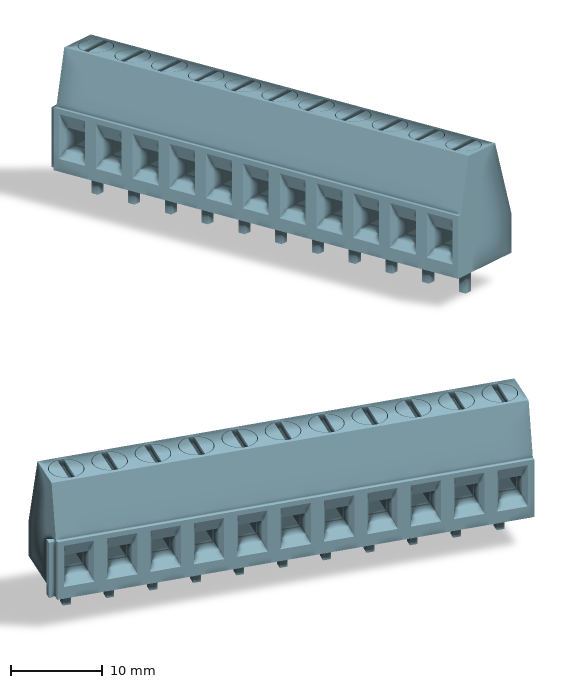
import cadquery as cq


pole_count = 11
pitch = 5.0
housing_length = pole_count * pitch
pole_centres = [pitch * (index + 0.5) for index in range(pole_count)]

housing_depth = 9.8
housing_height = 13.8
ledge_height = 7.35
ledge_depth = 0.5
top_front = 1.95
top_back = 6.8
back_wall_height = 4.6

tongue_length = 0.74
tongue_tip_width = 0.92
tongue_root_width = 0.45
tongue_height = 7.05
tongue_centre = 1.07

mouth_width = 3.5
mouth_bottom = 1.5
mouth_top = 6.75
mouth_depth = 0.8
throat_width = 2.75
throat_bottom = 2.4
throat_top = 5.05
throat_end = 2.4
shoulder = 0.15
channel_end = 6.0

screw_centre = (top_front + top_back) / 2
well_diameter = 4.0
screw_diameter = 3.8
well_depth = 1.5
slot_width = 0.75
slot_depth = 0.8

pin_width = 0.9
pin_thickness = 1.0
pin_length = 3.5
pin_centre = 4.65


def make_housing():
    """Housing profile in the YZ plane, extruded along the row."""
    profile = [
        (0, 0),
        (housing_depth, 0),
        (housing_depth, back_wall_height),
        (top_back, housing_height),
        (top_front, housing_height),
        (ledge_depth, ledge_height),
        (0, ledge_height),
    ]
    return cq.Workplane("YZ").polyline(profile).close().extrude(housing_length)


def make_tongue():
    """Dovetail tongue standing out from the -X end."""
    outline = [
        (0, tongue_centre - tongue_root_width / 2),
        (0, tongue_centre + tongue_root_width / 2),
        (-tongue_length, tongue_centre + tongue_tip_width / 2),
        (-tongue_length, tongue_centre - tongue_tip_width / 2),
    ]
    return cq.Workplane("XY").polyline(outline).close().extrude(tongue_height)


def make_straight_passage(x, width, bottom, start, end):
    """Rectangular passage under the common throat top, running along Y from start to end."""
    return cq.Workplane("XY").box(
        width, end - start, throat_top - bottom, centered=(True, False, False)
    ).translate((x, start, bottom))


def make_wire_entry(x):
    """Space to remove for one wire entry; a shoulder runs along the channel's sides and floor."""
    mouth_middle = (mouth_bottom + mouth_top) / 2
    throat_middle = (throat_bottom + throat_top) / 2
    mouth = (
        cq.Workplane("XZ", origin=(x, 0, mouth_middle))
        .rect(mouth_width, mouth_top - mouth_bottom)
        .workplane(offset=-mouth_depth)
        .center(0, throat_middle - mouth_middle)
        .rect(throat_width, throat_top - throat_bottom)
        .loft(ruled=True)
    )
    throat = make_straight_passage(x, throat_width, throat_bottom, mouth_depth, throat_end)
    channel_width = throat_width - 2 * shoulder
    channel_bottom = throat_bottom + shoulder
    channel = make_straight_passage(x, channel_width, channel_bottom, throat_end, channel_end)
    return mouth.union(throat).union(channel)


def make_screw_gap(x):
    """Space to remove around one screw head, with the driver slot across it."""
    top = cq.Workplane("XY", origin=(x, screw_centre, housing_height))
    gap = top.circle(well_diameter / 2).circle(screw_diameter / 2).extrude(-well_depth)
    slot = top.rect(slot_width, well_diameter).extrude(-slot_depth)
    slot = slot.intersect(top.circle(well_diameter / 2).extrude(-slot_depth))
    return gap.union(slot)


def make_pin(x):
    """Solder pin below the housing."""
    return (
        cq.Workplane("XY", origin=(x, pin_centre, 0))
        .rect(pin_width, pin_thickness)
        .extrude(-pin_length)
    )


result = make_housing().union(make_tongue())
for pole_x in pole_centres:
    result = result.cut(make_wire_entry(pole_x))
    result = result.cut(make_screw_gap(pole_x))
    result = result.union(make_pin(pole_x))